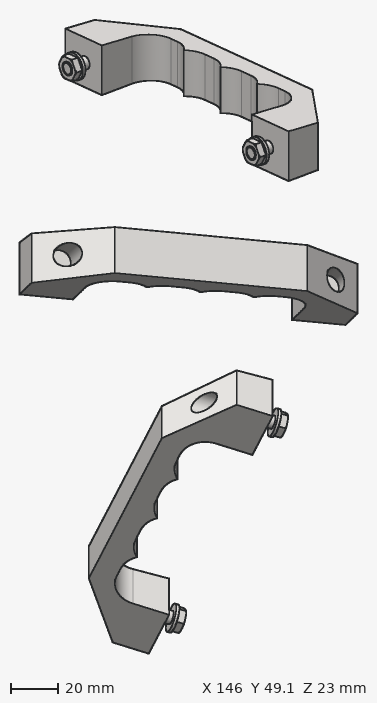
import cadquery as cq
import math

LENGTH = 146.0
DEPTH = 39.0
FOOT_THICKNESS = 23.0
BACK_THICKNESS = 20.5
BEVEL_LENGTH = 30.0
BEVEL_DEPTH = 22.5

LEG_WIDTH = 24.0
GRIP_BAR_DEPTH = 10.5
SCALLOP_PITCH = 24.0
GRIP_RADIUS = 11.8
SCALLOP_FLAT = 6.0

SCREW_SPACING = 120.0
SCREW_DIAMETER = 6.0
SCREW_LENGTH = 10.1
SCREW_CHAMFER = 0.5
WASHER_DIAMETER = 12.5
WASHER_THICKNESS = 1.5
NUT_ACROSS_FLATS = 10.1
NUT_THICKNESS = 3.5
NUT_END_DIAMETER = 10.5
NUT_CHAMFER_DEPTH = 0.5
NUT_BORE = 6.1
NUT_BORE_DEPTH = 0.5

ACCESS_DIAMETER = 10.4
ACCESS_FLOOR = 14.6


def grip_space():
    """Space between the legs; the overlapping finger hollows leave three cusps along the bar."""
    half_gap = LENGTH / 2 - LEG_WIDTH
    arc_centre_y = DEPTH - GRIP_BAR_DEPTH - GRIP_RADIUS
    height = 2 * FOOT_THICKNESS
    space = cq.Workplane("XY").box(2 * half_gap, 2 * arc_centre_y, height)
    hollow_half = SCALLOP_FLAT / 2 + GRIP_RADIUS
    inner_middle = SCALLOP_PITCH / 2
    outer_middle = inner_middle + SCALLOP_PITCH
    spans = [
        (inner_middle - hollow_half, inner_middle + hollow_half),
        (outer_middle - hollow_half, half_gap),
    ]
    for side in (-1, 1):
        for start, end in spans:
            hollow = (
                cq.Workplane("XY", origin=(side * (start + end) / 2, arc_centre_y, 0))
                .slot2D(end - start, 2 * GRIP_RADIUS)
                .extrude(height / 2, both=True)
            )
            space = space.union(hollow)
    return space


def handle_body():
    """Bevelled bar with two legs, thinning evenly from the foot faces to the back."""
    half_length = LENGTH / 2
    half_back = half_length - BEVEL_LENGTH
    shoulder_y = DEPTH - BEVEL_DEPTH
    outer = (
        cq.Workplane("XY")
        .polyline(
            [
                (-half_length, 0),
                (-half_length, shoulder_y),
                (-half_back, DEPTH),
                (half_back, DEPTH),
                (half_length, shoulder_y),
                (half_length, 0),
            ]
        )
        .close()
        .extrude(FOOT_THICKNESS / 2, both=True)
    )
    taper = (
        cq.Workplane("YZ")
        .polyline(
            [
                (0, -FOOT_THICKNESS / 2),
                (DEPTH, -BACK_THICKNESS / 2),
                (DEPTH, BACK_THICKNESS / 2),
                (0, FOOT_THICKNESS / 2),
            ]
        )
        .close()
        .extrude(half_length, both=True)
    )
    return outer.intersect(taper).cut(grip_space())


def cylinder_along_y(x, start_y, diameter, length):
    """Cylinder on the axis Z = 0 running toward +Y from start_y."""
    base = cq.Workplane("XZ", origin=(x, start_y, 0))
    return base.circle(diameter / 2).extrude(-length)


def screw(x):
    """Shank standing out of a foot, with a washer and a chamfered hexagon nut flush with its end."""
    shank = cylinder_along_y(x, -SCREW_LENGTH, SCREW_DIAMETER, SCREW_LENGTH)
    shank = shank.faces("<Y").chamfer(SCREW_CHAMFER)
    washer_y = NUT_THICKNESS - SCREW_LENGTH
    washer = cylinder_along_y(x, washer_y, WASHER_DIAMETER, WASHER_THICKNESS)

    corner_diameter = NUT_ACROSS_FLATS / math.cos(math.pi / 6)
    end_plane = cq.Workplane("XZ", origin=(x, -SCREW_LENGTH, 0))
    nut = end_plane.polygon(6, corner_diameter).extrude(-NUT_THICKNESS)
    envelope = cylinder_along_y(x, -SCREW_LENGTH, corner_diameter, NUT_THICKNESS)
    chamfer_width = (corner_diameter - NUT_END_DIAMETER) / 2
    envelope = envelope.faces("<Y").edges().chamfer(NUT_CHAMFER_DEPTH, chamfer_width)
    bore = cylinder_along_y(x, -SCREW_LENGTH, NUT_BORE, NUT_BORE_DEPTH)
    return washer.union(nut.intersect(envelope).cut(bore)).union(shank)


result = handle_body()
for side in (-1, 1):
    screw_x = side * SCREW_SPACING / 2
    result = result.cut(cylinder_along_y(screw_x, ACCESS_FLOOR, ACCESS_DIAMETER, DEPTH))
    result = result.union(screw(screw_x))